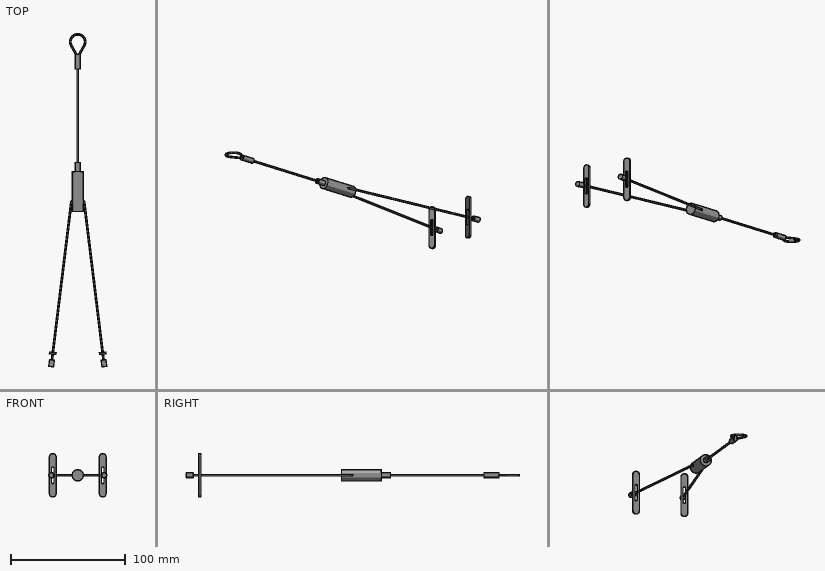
import cadquery as cq
import math

cable_radius = 0.75
crimp_radius = 2.25

housing_radius = 5.0
housing_length = 35.0
housing_end_y = -10.0
nozzle_length = 8.0
shoulder_y = housing_end_y + housing_length
nozzle_tip_y = shoulder_y + nozzle_length

ferrule_length = 13.2
ferrule_bottom_y = 114.4
ferrule_top_y = ferrule_bottom_y + ferrule_length
loop_tip_y = 145.48
loop_radius = 6.5
loop_centre_y = loop_tip_y - cable_radius - loop_radius
loop_embed = 1.0
loop_end_x = 1.0
loop_end_y = ferrule_top_y - loop_embed

leg_angle = math.radians(7.0)
leg_top_x = 5.63
leg_top_y = -1.8
leg_length = 144.5
bend_radius = 1.4
peg_tip_x = 2.5
stop_length = 6.0

toggle_height = 38.0
toggle_width = 6.0
toggle_thickness = 1.75
toggle_to_leg_end = 11.8
slot_height = 14.5
slot_width = 2.2


def y_cylinder(radius, start_y, end_y):
    """Cylinder on the Y axis between two Y positions."""
    return cq.Workplane("XZ", origin=(0, end_y, 0)).circle(radius).extrude(end_y - start_y)


def leg_point(distance):
    """Point on the right leg's centre line, measured down from its bend."""
    x = leg_top_x + distance * math.sin(leg_angle)
    y = leg_top_y - distance * math.cos(leg_angle)
    return x, y


def leg_plane(distance):
    """Plane square to the right leg, its normal pointing down the leg."""
    x, y = leg_point(distance)
    normal = (math.sin(leg_angle), -math.cos(leg_angle), 0)
    return cq.Plane(origin=(x, y, 0), xDir=(0, 0, 1), normal=normal)


def make_eye_loop():
    """Teardrop of cable: an arc with two straight tails running into the ferrule."""
    drop = loop_centre_y - loop_end_y
    reach = math.hypot(loop_end_x, drop)
    tangent_angle = math.pi / 2 - math.acos(loop_radius / reach) - math.atan2(loop_end_x, drop)
    tangent_x = loop_radius * math.cos(tangent_angle)
    tangent_y = loop_centre_y - loop_radius * math.sin(tangent_angle)
    path = (
        cq.Workplane("XY")
        .moveTo(-loop_end_x, loop_end_y)
        .lineTo(-tangent_x, tangent_y)
        .threePointArc((0, loop_centre_y + loop_radius), (tangent_x, tangent_y))
        .lineTo(loop_end_x, loop_end_y)
    )
    tail_direction = (loop_end_x - tangent_x, tangent_y - loop_end_y, 0)
    start = cq.Plane(origin=(-loop_end_x, loop_end_y, 0), xDir=(0, 0, 1), normal=tail_direction)
    return cq.Workplane(start).circle(cable_radius).sweep(path)


def make_right_leg():
    """Cable that bends into the housing's side, with a crimped stop at its far end."""
    end_x, end_y = leg_point(leg_length)
    centre_x = leg_top_x - bend_radius * math.cos(leg_angle)
    centre_y = leg_top_y - bend_radius * math.sin(leg_angle)
    mid_angle = (leg_angle + math.pi / 2) / 2
    bend_middle = (
        centre_x + bend_radius * math.cos(mid_angle),
        centre_y + bend_radius * math.sin(mid_angle),
    )
    peg_y = centre_y + bend_radius
    path = (
        cq.Workplane("XY")
        .moveTo(end_x, end_y)
        .lineTo(leg_top_x, leg_top_y)
        .threePointArc(bend_middle, (centre_x, peg_y))
        .lineTo(peg_tip_x, peg_y)
    )
    cable = cq.Workplane(leg_plane(leg_length)).circle(cable_radius).sweep(path)
    stop = cq.Workplane(leg_plane(leg_length - stop_length)).circle(crimp_radius).extrude(stop_length)
    return cable.union(stop)


def make_right_toggle():
    """Round-ended plate with a long slot that the leg cable passes through."""
    middle = leg_plane(leg_length - toggle_to_leg_end)
    plate = cq.Workplane(middle).slot2D(toggle_height, toggle_width).extrude(toggle_thickness / 2, both=True)
    slot = cq.Workplane(middle).slot2D(slot_height, slot_width).extrude(toggle_thickness, both=True)
    return plate.cut(slot)


right_leg = make_right_leg()
right_toggle = make_right_toggle()
legs = [right_leg, right_leg.mirror("YZ")]
toggles = [right_toggle, right_toggle.mirror("YZ")]

hanger = (
    y_cylinder(housing_radius, housing_end_y, shoulder_y)
    .union(y_cylinder(crimp_radius, shoulder_y, nozzle_tip_y))
    .union(y_cylinder(cable_radius, nozzle_tip_y, ferrule_bottom_y))
    .union(y_cylinder(crimp_radius, ferrule_bottom_y, ferrule_top_y))
    .union(make_eye_loop())
)
for leg in legs:
    hanger = hanger.cut(leg)

bodies = [hanger, *legs, *toggles]
result = cq.Compound.makeCompound([body.val() for body in bodies])